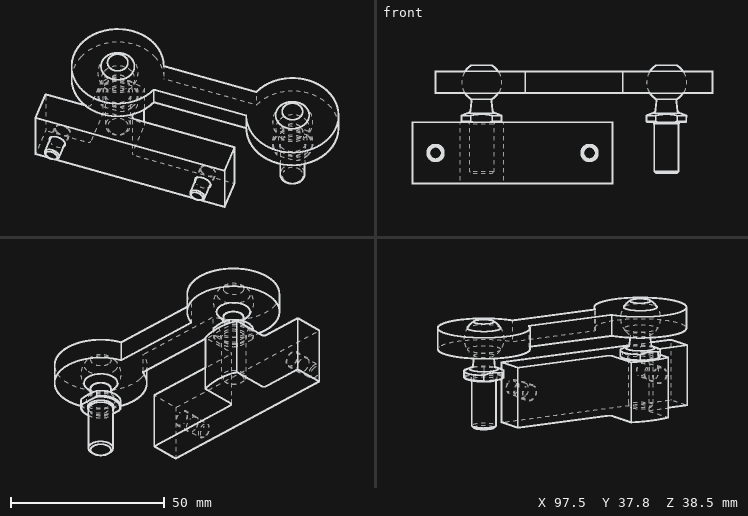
import cadquery as cq
import math

plate_length = 65.0
plate_depth = 10.0
plate_height = 20.0
boss_width = 14.2
boss_rear_y = 23.9
boss_side_y = 22.7
boss_root_fillet = 1.0

pin_diameter = 5.0
pin_hole_diameter = 5.5
pin_hole_depth = plate_depth / 2
pin_end_diameter = 4.0
pin_chamfer_length = 0.5
pin_protrusion = 5.75
pin_end_distance = 7.5
pin_spacing = 50.0

eye_diameter = 30.0
link_right_x = 97.45
eye_spacing = 60.0
bar_width = 10.0
link_thickness = 7.0
link_center_z = 32.9

stud_y = 17.0
ball_diameter = 13.0
ball_cap_height = 5.6
neck_top_diameter = 6.4
neck_bottom_diameter = 7.2
neck_fillet = 1.0
flange_diameter = 13.1
flange_top_diameter = 9.4
flange_height = 2.9
flange_chamfer_height = 0.8
flange_bottom_chamfer = 0.3
flange_flats_width = 11.0
shank_diameter = 8.0
shank_root_diameter = 8.5
shank_root_height = 0.6
shank_end_diameter = 6.6
shank_chamfer_height = 0.7
shank_length = 16.6

right_eye_x = link_right_x - eye_diameter / 2
left_eye_x = right_eye_x - eye_spacing
stud_xs = [left_eye_x, right_eye_x]
pin_xs = [pin_end_distance, pin_end_distance + pin_spacing]


def make_stud(x):
    """Ball stud as a turned profile of (radius, height), with two wrench flats on its flange."""
    shank_bottom_z = plate_height - shank_length
    flange_top_z = plate_height + flange_height
    neck_bottom_z = flange_top_z + neck_fillet
    ball_bottom_z = link_center_z - ball_cap_height
    ball_top_z = link_center_z + ball_cap_height
    ball_radius = ball_diameter / 2
    cap_radius = math.sqrt(ball_radius**2 - ball_cap_height**2)
    fillet_mid_offset = neck_fillet * (1 - math.sqrt(0.5))
    neck_radius = neck_bottom_diameter / 2

    stud = (
        cq.Workplane("XZ")
        .moveTo(0, shank_bottom_z)
        .lineTo(shank_end_diameter / 2, shank_bottom_z)
        .lineTo(shank_diameter / 2, shank_bottom_z + shank_chamfer_height)
        .lineTo(shank_diameter / 2, plate_height - shank_root_height)
        .lineTo(shank_root_diameter / 2, plate_height)
        .lineTo(flange_diameter / 2 - flange_bottom_chamfer, plate_height)
        .lineTo(flange_diameter / 2, plate_height + flange_bottom_chamfer)
        .lineTo(flange_diameter / 2, flange_top_z - flange_chamfer_height)
        .lineTo(flange_top_diameter / 2, flange_top_z)
        .lineTo(neck_radius + neck_fillet, flange_top_z)
        .threePointArc(
            (neck_radius + fillet_mid_offset, flange_top_z + fillet_mid_offset),
            (neck_radius, neck_bottom_z),
        )
        .lineTo(neck_top_diameter / 2, ball_bottom_z)
        .lineTo(cap_radius, ball_bottom_z)
        .threePointArc((ball_radius, link_center_z), (cap_radius, ball_top_z))
        .lineTo(0, ball_top_z)
        .close()
        .revolve(360, (0, 0, 0), (0, 1, 0))
    )
    flats_envelope = (
        cq.Workplane("XY")
        .box(flange_diameter, flange_flats_width, flange_height)
        .translate((0, 0, plate_height + flange_height / 2))
    )
    flange_zone = (
        cq.Workplane("XY")
        .workplane(offset=plate_height)
        .circle(flange_diameter)
        .extrude(flange_height)
    )
    stud = stud.cut(flange_zone.cut(flats_envelope))
    return stud.translate((x, stud_y, 0))


def make_pin(x):
    """Pin along Y, standing on its hole floor and tapered at its front end."""
    taper_start_y = pin_chamfer_length - pin_protrusion
    pin = (
        cq.Workplane("XY")
        .moveTo(0, -pin_protrusion)
        .lineTo(pin_end_diameter / 2, -pin_protrusion)
        .lineTo(pin_diameter / 2, taper_start_y)
        .lineTo(pin_diameter / 2, pin_hole_depth)
        .lineTo(0, pin_hole_depth)
        .close()
        .revolve(360, (0, 0, 0), (0, 1, 0))
    )
    return pin.translate((x, 0, plate_height / 2))


def make_link():
    """Two eyes and their bar, with a spherical socket in each eye."""
    bottom = cq.Workplane("XY").workplane(offset=link_center_z - link_thickness / 2)
    bar_center_x = (left_eye_x + right_eye_x) / 2
    link = bottom.center(bar_center_x, stud_y).rect(eye_spacing, bar_width).extrude(link_thickness)
    for x in stud_xs:
        link = link.union(bottom.moveTo(x, stud_y).circle(eye_diameter / 2).extrude(link_thickness))
    for x in stud_xs:
        link = link.cut(cq.Workplane("XY").sphere(ball_diameter / 2).translate((x, stud_y, link_center_z)))
    return link


def make_bracket(stud):
    """Plate and boss, with a recess that matches the stud's shank and clearance holes for the pins."""
    boss_left_x = left_eye_x - boss_width / 2
    boss_right_x = left_eye_x + boss_width / 2
    bracket = (
        cq.Workplane("XY")
        .lineTo(plate_length, 0)
        .lineTo(plate_length, plate_depth)
        .lineTo(boss_right_x, plate_depth)
        .lineTo(boss_right_x, boss_side_y)
        .threePointArc((left_eye_x, boss_rear_y), (boss_left_x, boss_side_y))
        .lineTo(boss_left_x, plate_depth)
        .lineTo(0, plate_depth)
        .close()
        .extrude(plate_height)
    )
    for x in (boss_left_x, boss_right_x):
        root_edge = cq.selectors.NearestToPointSelector((x, plate_depth, plate_height / 2))
        bracket = bracket.edges("|Z").edges(root_edge).fillet(boss_root_fillet)
    bracket = bracket.cut(stud)
    pin_holes = (
        cq.Workplane("XZ")
        .pushPoints([(x, plate_height / 2) for x in pin_xs])
        .circle(pin_hole_diameter / 2)
        .extrude(-pin_hole_depth)
    )
    bracket = bracket.cut(pin_holes)
    return bracket


studs = [make_stud(x) for x in stud_xs]
pins = [make_pin(x) for x in pin_xs]
link = make_link()
bracket = make_bracket(studs[0])

result = cq.Compound.makeCompound(
    [
        bracket.val(),
        link.val(),
        *[stud.val() for stud in studs],
        *[pin.val() for pin in pins],
    ]
)